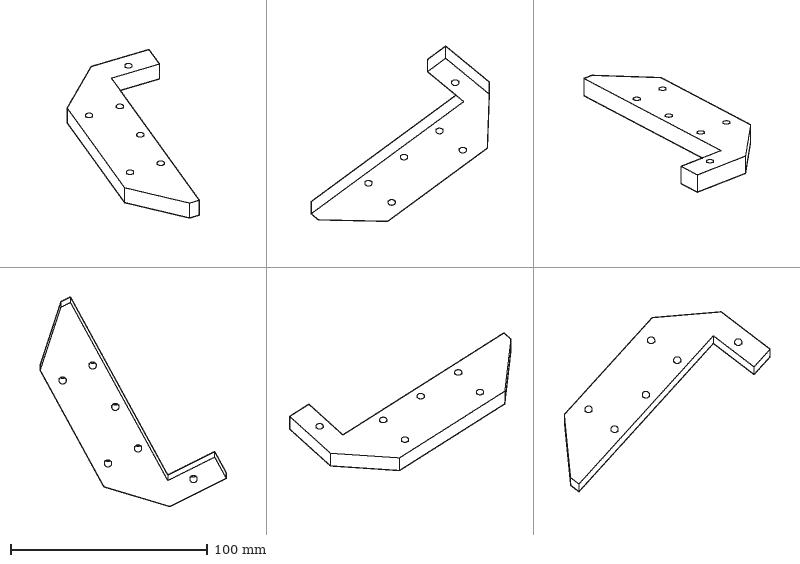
import cadquery as cq

length = 120.0
width = 57.5
thickness = 10.0

arm_width = 12.8
body_width = 30.5
corner_cut = 25.0

hole_diameter = 3.7
hole_spacing = 25.0
upper_row_y = 25.0
lower_row_y = 7.7
arm_hole_x = 7.5
arm_hole_y = 42.5

middle_x = length / 2
left_x = middle_x - hole_spacing
right_x = middle_x + hole_spacing

outline = [
    (corner_cut, 0),
    (length - corner_cut, 0),
    (length, corner_cut),
    (length, body_width),
    (arm_width, body_width),
    (arm_width, width),
    (0, width),
    (0, corner_cut),
]

hole_centers = [
    (left_x, upper_row_y),
    (middle_x, upper_row_y),
    (right_x, upper_row_y),
    (left_x, lower_row_y),
    (right_x, lower_row_y),
    (arm_hole_x, arm_hole_y),
]

plate = cq.Workplane("XY").polyline(outline).close().extrude(thickness)
holes = cq.Workplane("XY").pushPoints(hole_centers).circle(hole_diameter / 2).extrude(thickness)

result = plate.cut(holes)